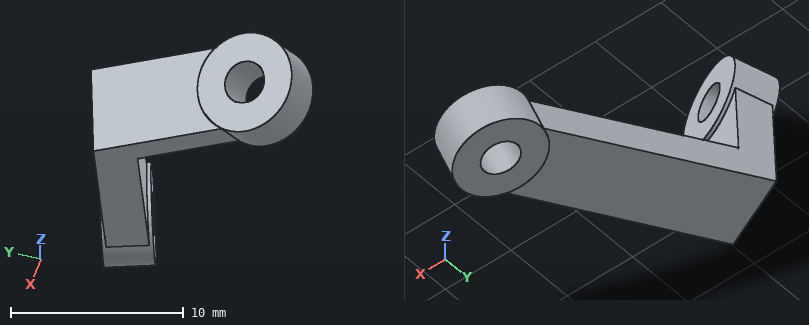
import cadquery as cq
import math

arm_width = 5.0
arm_thickness = 2.5
boss_diameter = 6.0
boss_length = 3.0
hole_diameter = 2.5
long_arm_length = 17.92
short_arm_length = 9.0

bend_angle = 112.0
heading = -20.0
rise = 32.5

cos_heading = math.cos(math.radians(heading))
sin_heading = math.sin(math.radians(heading))
cos_rise = math.cos(math.radians(rise))
sin_rise = math.sin(math.radians(rise))

long_arm_direction = (cos_rise * cos_heading, cos_rise * sin_heading, sin_rise)
bend_direction = (sin_rise * cos_heading, sin_rise * sin_heading, -cos_rise)
lever_plane = cq.Plane(origin=(0, 0, 0), xDir=long_arm_direction, normal=bend_direction)


def in_lever_plane(along, across, angle):
    """Local point measured along and across an arm lying at the given angle."""
    cosine = math.cos(math.radians(angle))
    sine = math.sin(math.radians(angle))
    return (along * cosine - across * sine, along * sine + across * cosine)


def make_arms():
    """Two flat arms of constant thickness meeting at a sharp mitred bend."""
    half = arm_thickness / 2
    mitre = half / math.sin(math.radians(bend_angle / 2))
    inner_corner = in_lever_plane(mitre, 0, bend_angle / 2)
    outer_corner = in_lever_plane(-mitre, 0, bend_angle / 2)
    outline = [
        outer_corner,
        in_lever_plane(long_arm_length, -half, 0),
        in_lever_plane(long_arm_length, half, 0),
        inner_corner,
        in_lever_plane(short_arm_length, -half, bend_angle),
        in_lever_plane(short_arm_length, half, bend_angle),
    ]
    return cq.Workplane(lever_plane).polyline(outline).close().extrude(arm_width / 2, both=True)


def cross_cylinder(arm_length, angle, diameter):
    """Cylinder through the end of an arm, square to its flat faces."""
    start = lever_plane.toWorldCoords(in_lever_plane(arm_length, -boss_length / 2, angle))
    end = lever_plane.toWorldCoords(in_lever_plane(arm_length, boss_length / 2, angle))
    return cq.Workplane(cq.Solid.makeCylinder(diameter / 2, boss_length, start, end - start))


arm_ends = [(long_arm_length, 0), (short_arm_length, bend_angle)]

result = make_arms()
for arm_length, angle in arm_ends:
    result = result.union(cross_cylinder(arm_length, angle, boss_diameter))
for arm_length, angle in arm_ends:
    result = result.cut(cross_cylinder(arm_length, angle, hole_diameter))